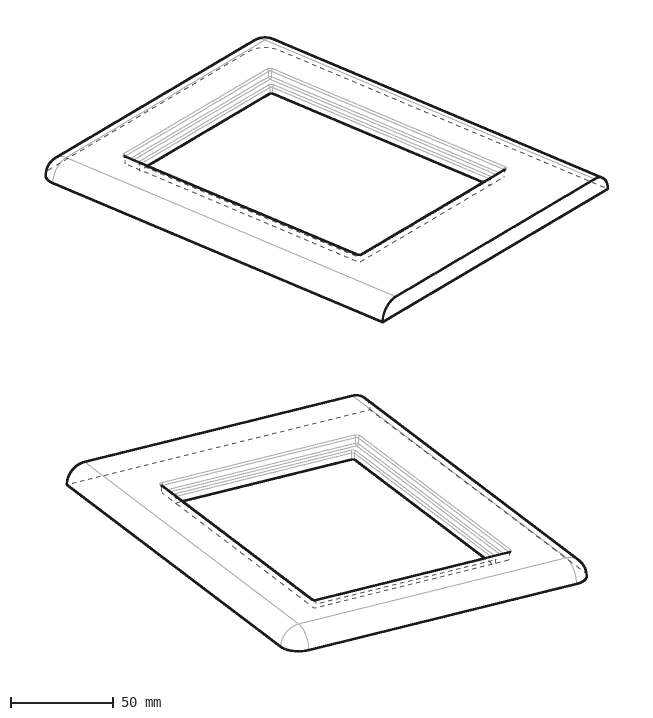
import cadquery as cq

length = 220.0
width = 170.0
thickness = 10.0
edge_radius = thickness

window_length = 140.0
window_width = 100.0
window_start = 35.0
window_center_x = window_start + window_length / 2

recess_margin = 5.0
recess_depth = 5.0
floor_z = thickness - recess_depth

blend_radius = 1.0

select_slack = 0.01


def quarter_round_side():
    """Quarter-round edge along -X, between the two round corners."""
    core_width = width - 2 * edge_radius
    return (
        cq.Workplane("XZ", origin=(0, core_width / 2, 0))
        .moveTo(0, 0)
        .lineTo(edge_radius, 0)
        .lineTo(edge_radius, thickness)
        .radiusArc((0, 0), -edge_radius)
        .close()
        .extrude(core_width)
    )


def main_body():
    """Plate section with rounded -Y and +Y edges, running out to the flat +X end."""
    half = width / 2
    flat_half = half - edge_radius
    return (
        cq.Workplane("YZ", origin=(edge_radius, 0, 0))
        .moveTo(-half, 0)
        .lineTo(half, 0)
        .radiusArc((flat_half, thickness), -edge_radius)
        .lineTo(-flat_half, thickness)
        .radiusArc((-half, 0), -edge_radius)
        .close()
        .extrude(length - edge_radius)
    )


def corner_ball(side):
    """Upper half ball that rounds one -X corner; side is -1 for -Y and 1 for +Y."""
    center_y = side * (width / 2 - edge_radius)
    return cq.Workplane("XY").sphere(edge_radius, angle1=0).translate((edge_radius, center_y, 0))


def rounded_plate():
    plate = main_body().union(quarter_round_side())
    for side in (-1, 1):
        plate = plate.union(corner_ball(side))
    return plate


def opening_block(margin, bottom, top):
    """Round-cornered block over the window, grown by margin on every side."""
    return (
        cq.Workplane("XY", origin=(window_center_x, 0, bottom))
        .rect(window_length + 2 * margin, window_width + 2 * margin)
        .extrude(top - bottom)
        .edges("|Z")
        .fillet(blend_radius)
    )


def rim_edges(plate, margin, height):
    """Edges of the plate that outline the opening of the given margin at one height."""
    reach_x = window_length / 2 + margin + select_slack
    reach_y = window_width / 2 + margin + select_slack
    low = (window_center_x - reach_x, -reach_y, height - select_slack)
    high = (window_center_x + reach_x, reach_y, height + select_slack)
    return plate.edges(cq.selectors.BoxSelector(low, high, boundingbox=True))


def recess_cutter():
    """Recess shape with its floor edge rounded."""
    return opening_block(recess_margin, floor_z, thickness).faces("<Z").edges().fillet(blend_radius)


def cut_stepped_opening(plate):
    """Cut the window and its recess, then round their three rims."""
    opened = plate.cut(opening_block(0, 0, thickness)).cut(recess_cutter())
    for margin, height in ((recess_margin, thickness), (0, floor_z), (0, 0)):
        opened = rim_edges(opened, margin, height).fillet(blend_radius)
    return opened


result = cut_stepped_opening(rounded_plate())